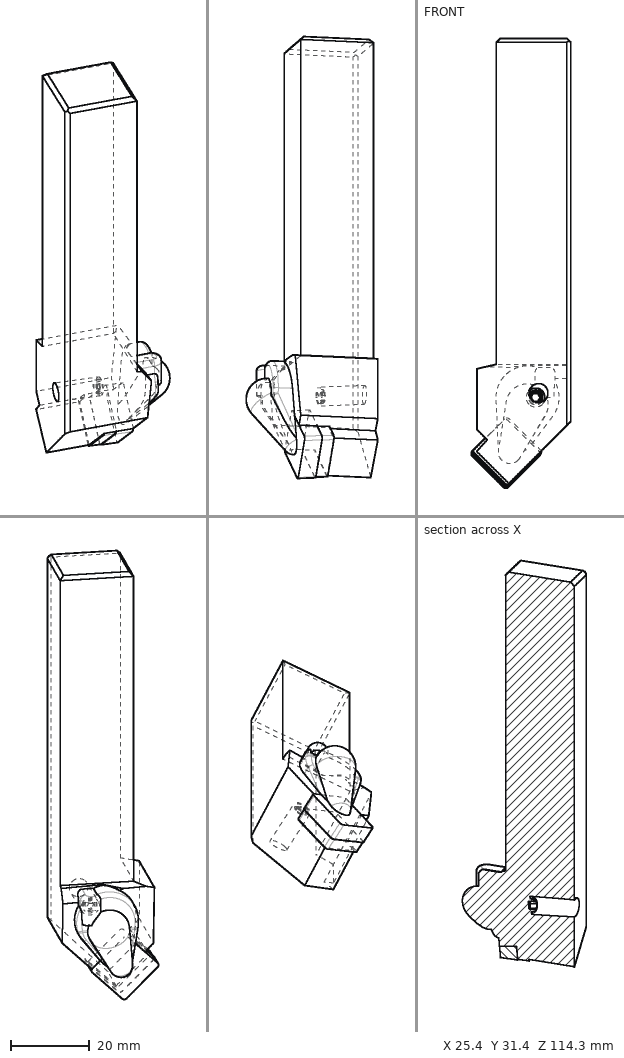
import cadquery as cq
import math

SHANK = 19.0
TOTAL_HEIGHT = 114.3
EDGE_CHAMFER = 1.0

HEAD_STEP = 4.9
HEAD_TOP_Z = 31.5
HEAD_SLOPE_DEG = 13.0
HEAD_SIDE_BOTTOM_Z = 15.0
NOTCH_DEPTH = 2.6
TIP_X = 3.2
TIP_Z = 1.3
SEAT_LENGTH = 11.5
HEAD_EXTRA_DEPTH = 5.7

RELIEF_X = 8.0
RELIEF_START_Y = 19.5
RELIEF_LEFT_TURN_DEG = -23.0
RELIEF_RIGHT_TURN_DEG = 3.0
RELIEF_ANGLE_DEG = 53.0

RAKE_SLOPE_X = 0.065
RAKE_SLOPE_Z = 0.093
RAKE_Y = 20.0

INSERT_X = 2.4
INSERT_Z = 8.8
INSERT_SIDE = 12.9
INSERT_THICKNESS = 4.7
INSERT_CORNER_RADIUS = 0.8
SHIM_SIDE = 12.7
SHIM_THICKNESS = 3.2

CLAMP_BACK_X = 7.9
CLAMP_BACK_Z = 23.2
CLAMP_BACK_RADIUS = 8.0
CLAMP_NOSE_X = 3.7
CLAMP_NOSE_Z = 9.6
CLAMP_NOSE_RADIUS = 3.2
CLAMP_BASE_TOP_Y = 26.1
CLAMP_SLOPE_START_Z = 21.3
CLAMP_SLOPE = 0.48
CLAMP_EDGE_RADIUS = 1.1
RIDGE_BACK = cq.Vector(7.8, 26.0, 21.3)
RIDGE_BACK_RADIUS = 5.4
RIDGE_NOSE_RADIUS = 3.0
RIDGE_NOSE = cq.Vector(3.4, 19.9, 9.4)
HEEL_X = 12.2
HEEL_TOP_Y = 27.7
HEEL_RADIUS = 2.6
HEEL_BACK_Z = 30.7
HEEL_EDGE_RADIUS = 1.3

SCREW_X = 10.7
SCREW_Z = 24.2
SCREW_HOLE_RADIUS = 2.4
SCREW_HOLE_DEPTH = 12.0
SCREW_TIP_RADIUS = 1.8
SCREW_TIP_HEIGHT = 1.1
SCREW_TIP_CHAMFER = 0.3
SOCKET_DIAMETER = 2.4
SOCKET_DEPTH = 1.7

BIG = 4 * SHANK
RAKE_NORMAL = cq.Vector(-RAKE_SLOPE_X, 1, -RAKE_SLOPE_Z).normalized()
HEAD_SLOPE = math.tan(math.radians(HEAD_SLOPE_DEG))


def rake_y(x, z):
    """Y of the rake plane above the point (x, z)."""
    return RAKE_Y + RAKE_SLOPE_X * (x - INSERT_X) + RAKE_SLOPE_Z * (z - INSERT_Z)


def rake_workplane(x, z):
    """Workplane on the rake plane, with its local X running at 45 degrees to the shank."""
    along = cq.Vector(1, RAKE_SLOPE_X + RAKE_SLOPE_Z, 1)
    return cq.Workplane(cq.Plane((x, rake_y(x, z), z), along, RAKE_NORMAL))


def above_rake():
    return rake_workplane(INSERT_X, INSERT_Z).rect(BIG, BIG).extrude(BIG)


def square_plate(side, top_depth, thickness):
    """Square plate parallel to the rake plane, its upper face top_depth below that plane."""
    return (
        rake_workplane(INSERT_X, INSERT_Z)
        .workplane(offset=-top_depth - thickness)
        .rect(side, side)
        .extrude(thickness)
        .edges(cq.selectors.ParallelDirSelector(RAKE_NORMAL))
        .fillet(INSERT_CORNER_RADIUS)
    )


def make_shank():
    height = TOTAL_HEIGHT - HEAD_TOP_Z
    return (
        cq.Workplane("XY", origin=(0, 0, HEAD_TOP_Z))
        .rect(SHANK, SHANK)
        .extrude(height)
        .translate((SHANK / 2, SHANK / 2, 0))
        .faces(">Z")
        .chamfer(EDGE_CHAMFER)
    )


def make_head():
    seat_leg = SEAT_LENGTH / math.sqrt(2)
    head = (
        cq.Workplane("XZ")
        .moveTo(TIP_X, TIP_Z)
        .lineTo(SHANK, TIP_Z + SHANK - TIP_X)
        .lineTo(SHANK, HEAD_TOP_Z)
        .lineTo(0, HEAD_TOP_Z)
        .lineTo(-HEAD_STEP, HEAD_TOP_Z - HEAD_STEP * HEAD_SLOPE)
        .lineTo(-HEAD_STEP, HEAD_SIDE_BOTTOM_Z)
        .lineTo(-HEAD_STEP + NOTCH_DEPTH, HEAD_SIDE_BOTTOM_Z - NOTCH_DEPTH)
        .lineTo(TIP_X - seat_leg, TIP_Z + seat_leg)
        .close()
        .extrude(-SHANK - HEAD_EXTRA_DEPTH)
    )
    back_slope = (
        cq.Workplane("YZ", origin=(-HEAD_STEP, 0, 0))
        .moveTo(SHANK, HEAD_TOP_Z)
        .lineTo(SHANK + HEAD_EXTRA_DEPTH, HEAD_TOP_Z)
        .lineTo(SHANK + HEAD_EXTRA_DEPTH, HEAD_TOP_Z - HEAD_EXTRA_DEPTH * HEAD_SLOPE)
        .close()
        .extrude(SHANK + HEAD_STEP)
    )
    left_relief = relief_cutter(-RELIEF_X, RELIEF_LEFT_TURN_DEG)
    right_relief = relief_cutter(SHANK, RELIEF_RIGHT_TURN_DEG)
    return head.cut(above_rake()).cut(back_slope).cut(left_relief).cut(right_relief)


def relief_cutter(length, turn_deg):
    """Steep wedge running along X from the meeting point of the relief faces, turned about Z."""
    depth = SHANK + HEAD_EXTRA_DEPTH - RELIEF_START_Y
    drop = depth * math.tan(math.radians(RELIEF_ANGLE_DEG))
    wedge = (
        cq.Workplane("YZ")
        .moveTo(0, HEAD_TOP_Z)
        .lineTo(depth, HEAD_TOP_Z)
        .lineTo(depth, HEAD_TOP_Z - drop)
        .close()
        .extrude(length)
    )
    return wedge.rotate((0, 0, 0), (0, 0, 1), turn_deg).translate((RELIEF_X, RELIEF_START_Y, 0))


def edge_chamfer_cutter():
    """Bevel along the front right edge of shank and head."""
    return (
        cq.Workplane("XY")
        .moveTo(SHANK - EDGE_CHAMFER, 0)
        .lineTo(SHANK, 0)
        .lineTo(SHANK, EDGE_CHAMFER)
        .close()
        .extrude(TOTAL_HEIGHT)
    )


def clamp_base():
    """Two discs of different radius joined by their outer tangents."""
    back = cq.Vector(CLAMP_BACK_X, CLAMP_BACK_Z)
    nose = cq.Vector(CLAMP_NOSE_X, CLAMP_NOSE_Z)
    axis = nose - back
    heading = math.atan2(axis.y, axis.x)
    spread = math.acos((CLAMP_BACK_RADIUS - CLAMP_NOSE_RADIUS) / axis.Length)

    def on_circle(center, radius, angle):
        return (center.x + radius * math.cos(angle), center.y + radius * math.sin(angle))

    outline = (
        cq.Workplane("XZ")
        .moveTo(*on_circle(back, CLAMP_BACK_RADIUS, heading + spread))
        .threePointArc(
            on_circle(back, CLAMP_BACK_RADIUS, heading + math.pi),
            on_circle(back, CLAMP_BACK_RADIUS, heading - spread),
        )
        .lineTo(*on_circle(nose, CLAMP_NOSE_RADIUS, heading - spread))
        .threePointArc(
            on_circle(nose, CLAMP_NOSE_RADIUS, heading),
            on_circle(nose, CLAMP_NOSE_RADIUS, heading + spread),
        )
        .close()
    )
    block = outline.extrude(-CLAMP_BASE_TOP_Y)
    slope_drop = CLAMP_SLOPE * CLAMP_SLOPE_START_Z
    nose_slope = (
        cq.Workplane("YZ")
        .moveTo(CLAMP_BASE_TOP_Y, CLAMP_SLOPE_START_Z)
        .lineTo(CLAMP_BASE_TOP_Y, 0)
        .lineTo(CLAMP_BASE_TOP_Y - slope_drop, 0)
        .close()
        .extrude(BIG, both=True)
    )
    block = block.cut(nose_slope)
    return block.edges("not (<Y or |Y)").fillet(CLAMP_EDGE_RADIUS)


def clamp_ridge():
    """Two balls of different radius joined by their tangent cone."""
    axis = RIDGE_NOSE - RIDGE_BACK
    length = axis.Length
    spread = math.acos((RIDGE_BACK_RADIUS - RIDGE_NOSE_RADIUS) / length)
    mid = spread / 2

    def on_ball(center, radius, angle):
        return (center + radius * math.cos(angle), radius * math.sin(angle))

    across = axis.cross(cq.Vector(0, 1, 0))
    profile = (
        cq.Workplane(cq.Plane(RIDGE_BACK, axis, across))
        .moveTo(-RIDGE_BACK_RADIUS, 0)
        .threePointArc(
            on_ball(0, RIDGE_BACK_RADIUS, mid + math.pi / 2),
            on_ball(0, RIDGE_BACK_RADIUS, spread),
        )
        .lineTo(*on_ball(length, RIDGE_NOSE_RADIUS, spread))
        .threePointArc(
            on_ball(length, RIDGE_NOSE_RADIUS, mid),
            (length + RIDGE_NOSE_RADIUS, 0),
        )
        .close()
    )
    return profile.revolve(360, (0, 0, 0), (1, 0, 0))


def clamp_heel():
    """Round-topped lug behind the ridge."""
    center_y = HEEL_TOP_Y - HEEL_RADIUS
    return (
        cq.Workplane("XY", origin=(0, 0, CLAMP_BACK_Z))
        .moveTo(HEEL_X - HEEL_RADIUS, SHANK)
        .lineTo(HEEL_X - HEEL_RADIUS, center_y)
        .threePointArc((HEEL_X, HEEL_TOP_Y), (HEEL_X + HEEL_RADIUS, center_y))
        .lineTo(HEEL_X + HEEL_RADIUS, SHANK)
        .close()
        .extrude(HEEL_BACK_Z - CLAMP_BACK_Z)
        .edges(">Z and (not <Y)")
        .fillet(HEEL_EDGE_RADIUS)
    )


def make_clamp():
    above_shank = cq.Workplane("XZ", origin=(0, SHANK, 0)).rect(BIG, 2 * BIG).extrude(-BIG)
    return clamp_base().union(clamp_ridge()).union(clamp_heel()).intersect(above_shank)


def screw_hole():
    """Blind hole square to the rake plane, around the tip of the screw with its hexagon socket."""
    plane = cq.Plane((SCREW_X, 0, SCREW_Z), (1, RAKE_SLOPE_X, 0), RAKE_NORMAL)
    start = cq.Workplane(plane)
    hole = start.circle(SCREW_HOLE_RADIUS).extrude(SCREW_HOLE_DEPTH, both=True)
    tip_start = start.workplane(offset=SCREW_HOLE_DEPTH - SCREW_TIP_HEIGHT)
    tip = tip_start.circle(SCREW_TIP_RADIUS).extrude(SCREW_TIP_HEIGHT)
    tip = tip.faces(cq.selectors.DirectionMinMaxSelector(RAKE_NORMAL, False)).chamfer(SCREW_TIP_CHAMFER)
    socket = tip_start.polygon(6, SOCKET_DIAMETER).extrude(SOCKET_DEPTH)
    return hole.cut(tip).union(socket)


def make_insert():
    return square_plate(INSERT_SIDE, 0, INSERT_THICKNESS)


def make_holder():
    shim = square_plate(SHIM_SIDE, INSERT_THICKNESS, SHIM_THICKNESS)
    return (
        make_shank()
        .union(make_head())
        .cut(edge_chamfer_cutter())
        .union(shim)
        .union(make_clamp())
        .cut(make_insert())
        .cut(screw_hole())
    )


holder = make_holder()
insert = make_insert()

result = cq.Compound.makeCompound([holder.val(), insert.val()])